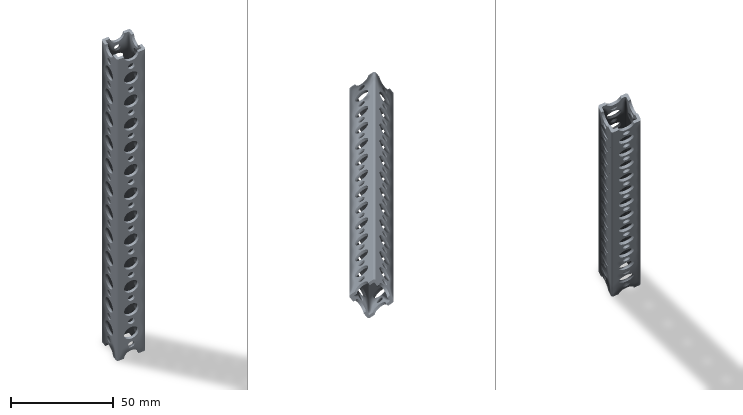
import cadquery as cq

length = 208.0
module_count = 13
pitch = length / module_count
width = pitch
wall = 1.48
corner_radius = 1.0
bore_radius = 0.5

large_diameter = pitch / 2
small_diameter = 3.7


def square_tube():
    outer = cq.Workplane("XY").rect(width, width).extrude(length)
    outer = outer.edges("|Z").fillet(corner_radius)
    bore_width = width - 2 * wall
    bore = cq.Workplane("XY").rect(bore_width, bore_width).extrude(length)
    bore = bore.edges("|Z").fillet(bore_radius)
    return outer.cut(bore)


def hole_row(plane, diameter, heights):
    """Cylinders crossing the whole tube at the given heights."""
    centers = [(0, height) for height in heights]
    return (
        cq.Workplane(plane)
        .pushPoints(centers)
        .circle(diameter / 2)
        .extrude(width, both=True)
    )


large_heights = [i * pitch for i in range(module_count + 1)]
small_heights = [(i + 0.5) * pitch for i in range(module_count)]

result = square_tube()
for plane in ("XZ", "YZ"):
    result = result.cut(hole_row(plane, large_diameter, large_heights))
    result = result.cut(hole_row(plane, small_diameter, small_heights))